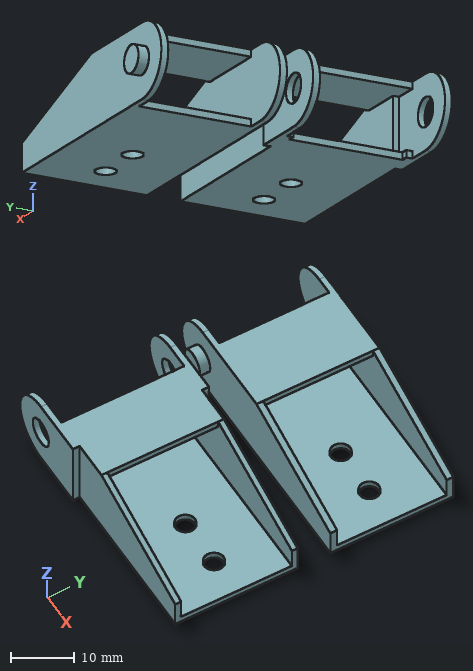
import cadquery as cq

length = 46.5
height = 13.0
end_height = 5.05
slope_start = 23.4
lug_radius = height / 2
sheet = 1.25

screw_hole_diameter = 3.55
screw_hole_positions = (30.45, 39.4)

pin_bracket_width = 22.65
pin_bracket_plate_start = 9.6
pin_diameter = 4.8
pin_length = 1.9

socket_bracket_width = 25.05
socket_bracket_plate_start = 10.85
lug_end = 16.5
rear_wall = 1.1
rear_wall_start = lug_end - sheet
floor_start = socket_bracket_plate_start + sheet
socket_diameter = 5.0

overall_width = 54.35
socket_bracket_center = socket_bracket_width / 2
pin_bracket_center = overall_width - pin_length - pin_bracket_width / 2


def slab(x_start, x_end, y_start, y_end, z_start, z_end):
    """Box given by its limits on each axis."""
    return cq.Workplane("XY").box(
        x_end - x_start, y_end - y_start, z_end - z_start, centered=False
    ).translate((x_start, y_start, z_start))


def side_wall(y_start, thickness):
    """Full side profile: round lug, level top, then a slope to the low end."""
    profile = (
        cq.Workplane("XZ", origin=(0, y_start, 0))
        .moveTo(lug_radius, 0)
        .lineTo(length, 0)
        .lineTo(length, end_height)
        .lineTo(slope_start, height)
        .lineTo(lug_radius, height)
        .threePointArc((0, lug_radius), (lug_radius, 0))
        .close()
    )
    return profile.extrude(-thickness)


def lug_cylinder(diameter, y_start, y_end):
    """Cylinder on the hinge axis."""
    axis_start = cq.Workplane("XZ", origin=(lug_radius, y_start, lug_radius))
    return axis_start.circle(diameter / 2).extrude(y_start - y_end)


def top_plate(x_start, half_width):
    """Level plate between the walls, ending where the slope begins."""
    profile = (
        cq.Workplane("XZ", origin=(0, -half_width, 0))
        .moveTo(x_start, height - sheet)
        .lineTo(slope_start, height - sheet)
        .lineTo(slope_start, height)
        .lineTo(x_start, height)
        .close()
    )
    return profile.extrude(-2 * half_width)


def screw_holes():
    """Cutters for the row of holes along the middle of a floor."""
    centers = [(x, 0) for x in screw_hole_positions]
    return cq.Workplane("XY").pushPoints(centers).circle(screw_hole_diameter / 2).extrude(sheet)


def make_pin_bracket():
    """Channel with a short pin outside each lug, centred on Y = 0."""
    outer = pin_bracket_width / 2
    inner = outer - sheet
    body = top_plate(pin_bracket_plate_start, inner)
    body = body.union(slab(pin_bracket_plate_start, length, -inner, inner, 0, sheet))
    for inside, outside in ((-inner, -outer), (inner, outer)):
        body = body.union(side_wall(min(inside, outside), sheet))
    body = body.union(lug_cylinder(pin_diameter, -outer - pin_length, -outer))
    body = body.union(lug_cylinder(pin_diameter, outer, outer + pin_length))
    return body.cut(screw_holes())


def make_socket_bracket():
    """Channel with wide, pierced lugs and narrower rear walls, centred on Y = 0."""
    outer = socket_bracket_width / 2
    rear_outer = outer - sheet
    rear_inner = rear_outer - rear_wall
    start = socket_bracket_plate_start
    lug_zone = slab(0, lug_end, -outer, outer, 0, height)
    rear_zone = slab(rear_wall_start, length, -outer, outer, 0, height)

    body = top_plate(start, rear_outer)
    body = body.union(slab(floor_start, length, -rear_inner, rear_inner, 0, sheet))
    for lug_start, wall_start in ((-outer, -rear_outer), (rear_outer, rear_inner)):
        lug = side_wall(lug_start, sheet).intersect(lug_zone)
        wall = side_wall(wall_start, rear_wall).intersect(rear_zone)
        foot_strip = slab(start, rear_wall_start, wall_start, wall_start + rear_wall, 0, sheet)
        body = body.union(wall).union(foot_strip).union(lug)
    body = body.cut(lug_cylinder(socket_diameter, -outer, outer))
    return body.cut(screw_holes())


pin_bracket = make_pin_bracket().translate((0, pin_bracket_center, 0))
socket_bracket = make_socket_bracket().translate((0, socket_bracket_center, 0))

result = cq.Compound.makeCompound([pin_bracket.val(), socket_bracket.val()])